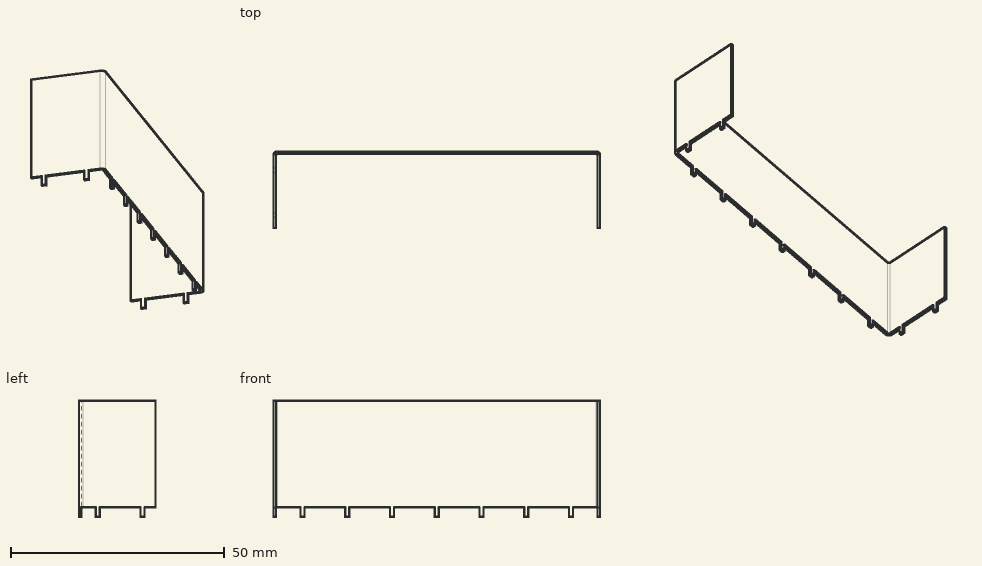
import cadquery as cq

length = 76.5
depth = 18.0
total_height = 27.2
thickness = 0.6
inner_bend_radius = 0.4
outer_bend_radius = inner_bend_radius + thickness

pin_length = 2.2
pin_width = 1.0
pin_pitch = 10.5
back_pin_count = 7
wing_pin_count = 2
front_pin_inset = 3.05

wall_height = total_height - pin_length
back_y = depth / 2
front_y = -depth / 2
wall_bottom = -total_height / 2 + pin_length


def make_walls():
    """U-shaped sheet, open toward -Y, with rounded bends at the back corners."""
    outer = (
        cq.Workplane("XY", origin=(0, 0, wall_bottom))
        .rect(length, depth)
        .extrude(wall_height)
        .edges("|Z and >Y")
        .fillet(outer_bend_radius)
    )
    inner = (
        cq.Workplane("XY", origin=(0, -thickness, wall_bottom))
        .rect(length - 2 * thickness, depth)
        .extrude(wall_height)
        .edges("|Z and >Y")
        .fillet(inner_bend_radius)
    )
    return outer.cut(inner)


def make_pins(centres, size_x, size_y):
    """Rectangular pins hanging below the bottom edge of the walls."""
    return (
        cq.Workplane("XY", origin=(0, 0, wall_bottom))
        .pushPoints(centres)
        .rect(size_x, size_y)
        .extrude(-pin_length)
    )


back_pin_centres = [
    ((i - (back_pin_count - 1) / 2) * pin_pitch, back_y - thickness / 2)
    for i in range(back_pin_count)
]
wing_pin_centres = [
    (side * (length - thickness) / 2, front_y + front_pin_inset + i * pin_pitch)
    for side in (-1, 1)
    for i in range(wing_pin_count)
]

back_pins = make_pins(back_pin_centres, pin_width, thickness)
wing_pins = make_pins(wing_pin_centres, thickness, pin_width)
result = make_walls().union(back_pins).union(wing_pins)